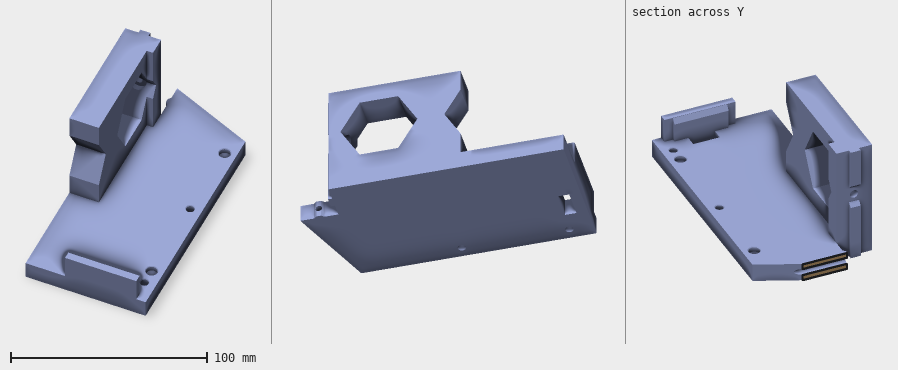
import cadquery as cq
import math

plate_width = 67.0
plate_thickness = 10.0
plate_length = 143.6
plate_short_length = 123.7
rear_edge_x = 20.0

nub_y = 133.6
nub_root_width = 5.4
nub_tip_width = 2.6
nub_height = 1.3
cross_hole_diameter = 3.4
cross_hole_z = 5.1

wall_height = 65.0
wall_thickness = 16.5
wall_front_y = 54.2
wall_rear_y = 123.6
wall_rear_thickness = rear_edge_x
wall_rear_length = 10.0

hexagon_radius = 20.2
hexagon_z = 37.5
hexagon_center_y = 97.15
hexagon_pitch = 54.6

tongue_center_x = 10.2
tongue_width = 5.6
tongue_height = 2.2
tongue_gap_root = 8.7
tongue_gap_slope = math.radians(45)

screw_diameter = 4.5
screw_head_diameter = 9.5
screw_head_floor_y = 117.6

stop_left_x = 22.0
stop_width = 39.8
stop_depth = 4.1
stop_top_z = 23.4
lip_width = 30.3
lip_depth = 1.9
lip_root_z = 23.2
lip_face_z = 20.4
stop_center_x = stop_left_x + stop_width / 2

window_width = 14.8
window_rear_y = 12.1

side_hole_x = 60.7
hole_chamfer = 0.4
magnet_diameter = 6.1
magnet_depth = 3.0
magnet_ys = (21.5, 112.1)
bolt_diameter = 4.3
bolt_ys = (12.7, 69.3)


def box(x_range, y_range, z_range):
    """Axis-aligned box between the given limits."""
    size = [high - low for low, high in (x_range, y_range, z_range)]
    corner = (x_range[0], y_range[0], z_range[0])
    return cq.Workplane("XY").box(*size, centered=False).translate(corner)


def rod(diameter, start, end):
    """Straight cylinder between two points."""
    axis = cq.Vector(*end) - cq.Vector(*start)
    return cq.Workplane(
        cq.Solid.makeCylinder(diameter / 2, axis.Length, cq.Vector(*start), axis)
    )


def make_plate():
    """Base plate with the slanted rear end and the nub on its left edge."""
    outline = [
        (0, 0),
        (plate_width, 0),
        (plate_width, plate_short_length),
        (rear_edge_x, plate_length),
        (rear_edge_x, nub_y + nub_root_width / 2),
        (rear_edge_x - nub_height, nub_y + nub_tip_width / 2),
        (rear_edge_x - nub_height, nub_y - nub_tip_width / 2),
        (rear_edge_x, nub_y - nub_root_width / 2),
        (rear_edge_x, wall_rear_y),
        (0, wall_rear_y),
    ]
    return cq.Workplane("XY").polyline(outline).close().extrude(plate_thickness)


def make_wall():
    """Upright wall, thicker at its rear end."""
    main = box((0, wall_thickness), (wall_front_y, wall_rear_y), (0, wall_height))
    thick_end = box(
        (0, wall_rear_thickness),
        (wall_rear_y - wall_rear_length, wall_rear_y),
        (0, wall_height),
    )
    return main.union(thick_end)


def make_hexagon(center_y):
    """Hexagonal prism along X with corners pointing to the front and rear."""
    return (
        cq.Workplane("YZ")
        .center(center_y, hexagon_z)
        .polygon(6, 2 * hexagon_radius)
        .extrude(wall_rear_thickness)
    )


def make_tongue():
    """Vertical tongue with a gap that widens outward at 45 degrees."""
    left_x = tongue_center_x - tongue_width / 2
    outer_y = wall_rear_y + tongue_height
    bar = box((left_x, left_x + tongue_width), (wall_rear_y, outer_y), (0, wall_height))
    half_root = tongue_gap_root / 2
    half_outer = half_root + tongue_height * math.tan(tongue_gap_slope)
    gap = (
        cq.Workplane("YZ", origin=(left_x, 0, hexagon_z))
        .polyline([
            (wall_rear_y, -half_root),
            (outer_y, -half_outer),
            (outer_y, half_outer),
            (wall_rear_y, half_root),
        ])
        .close()
        .extrude(tongue_width)
    )
    return bar.cut(gap)


def make_screw_hole():
    """Screw hole along Y with a head recess opening into the hexagon."""
    start = (tongue_center_x, hexagon_center_y, hexagon_z)
    head_end = (tongue_center_x, screw_head_floor_y, hexagon_z)
    hole_end = (tongue_center_x, wall_rear_y, hexagon_z)
    return rod(screw_head_diameter, start, head_end).union(rod(screw_diameter, start, hole_end))


def make_cross_hole():
    """Hole along X through the nub and the rear part of the plate."""
    return rod(
        cross_hole_diameter,
        (0, nub_y, cross_hole_z),
        (plate_width, nub_y, cross_hole_z),
    )


def make_stop():
    """Front stop block with a lip whose top slopes down to the rear."""
    block = box(
        (stop_left_x, stop_left_x + stop_width), (0, stop_depth), (0, stop_top_z)
    )
    lip_left_x = stop_center_x - lip_width / 2
    lip_rear_y = stop_depth + lip_depth
    lip = (
        cq.Workplane("YZ", origin=(lip_left_x, 0, 0))
        .polyline([
            (0, 0),
            (lip_rear_y, 0),
            (lip_rear_y, lip_face_z),
            (stop_depth, lip_root_z),
            (0, lip_root_z),
        ])
        .close()
        .extrude(lip_width)
    )
    return block.union(lip)


def make_window():
    """Rectangular cut through the plate, starting at the lip face."""
    left_x = stop_center_x - window_width / 2
    return box(
        (left_x, left_x + window_width),
        (stop_depth + lip_depth, window_rear_y),
        (0, plate_thickness),
    )


def make_plate_hole(y, diameter, depth):
    """Vertical hole from the plate top with a chamfered rim."""
    radius = diameter / 2
    profile = [
        (0, plate_thickness),
        (radius + hole_chamfer, plate_thickness),
        (radius, plate_thickness - hole_chamfer),
        (radius, plate_thickness - depth),
        (0, plate_thickness - depth),
    ]
    return (
        cq.Workplane("XZ")
        .polyline(profile)
        .close()
        .revolve(360, (0, 0), (0, 1))
        .translate((side_hole_x, y, 0))
    )


result = make_plate().union(make_wall()).union(make_tongue()).union(make_stop())

for center_y in (hexagon_center_y, hexagon_center_y - hexagon_pitch):
    result = result.cut(make_hexagon(center_y))

result = result.cut(make_screw_hole()).cut(make_window())
result = result.cut(make_cross_hole())

for y in magnet_ys:
    result = result.cut(make_plate_hole(y, magnet_diameter, magnet_depth))
for y in bolt_ys:
    result = result.cut(make_plate_hole(y, bolt_diameter, plate_thickness))